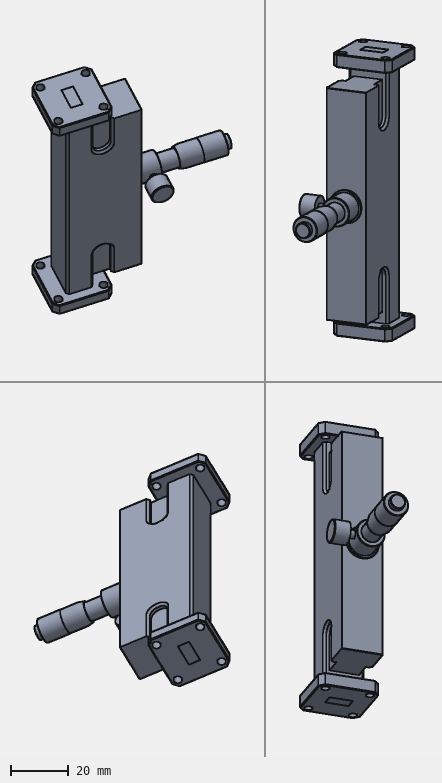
import cadquery as cq


length = 101.6
flange_side = 22.4
flange_thickness = 4.8
flange_corner = 1.9
flange_edge_chamfer = 0.3
hole_diameter = 2.9
hole_spacing_x = 16.5
hole_spacing_y = 17.1
port_width = 8.6
port_height = 4.4
port_depth = 0.1

tube_width = 15.2
tube_height = 10.2
tube_chamfer = 0.9

block_length = 83.7
block_back = 23.2
block_back_chamfer = 0.2

slot_width = 6.8
slot_depth = 2.1
slot_straight_end = 29.0
slot_chamfer = tube_chamfer

collar_diameter = 11.9
collar_end = 23.9
bushing_diameter = 10.4
bushing_end = 31.9
sleeve_diameter = 7.1
thimble_start = 39.1
thimble_tip_diameter = 8.1
thimble_taper_end = 41.2
thimble_diameter = 9.0
grip_start = 48.0
grip_diameter = 9.1
grip_end = 57.1
cap_diameter = 5.5
cap_end = 59.0
turned_chamfer = 0.2

screw_y = 28.5
stem_diameter = 3.0
knob_diameter = 8.4
knob_start = 7.7
knob_end = 13.7
knob_chamfer = 0.3


def make_flange():
    """Top flange, with its port recess in the outer face."""
    inner_face = length / 2 - flange_thickness
    flange = (
        cq.Workplane("XY", origin=(0, 0, inner_face))
        .rect(flange_side, flange_side)
        .extrude(flange_thickness)
        .edges("|Z")
        .chamfer(flange_corner)
        .faces("<Z or >Z")
        .edges()
        .chamfer(flange_edge_chamfer)
    )
    holes = (
        cq.Workplane("XY", origin=(0, 0, inner_face))
        .rect(hole_spacing_x, hole_spacing_y, forConstruction=True)
        .vertices()
        .circle(hole_diameter / 2)
        .extrude(flange_thickness)
    )
    port = (
        cq.Workplane("XY", origin=(0, 0, length / 2 - port_depth))
        .rect(port_width, port_height)
        .extrude(port_depth)
    )
    return flange.cut(holes).cut(port)


def make_tube():
    tube_length = length - 2 * flange_thickness
    return cq.Workplane("XY").box(tube_width, tube_height, tube_length).edges("|Z").chamfer(tube_chamfer)


def make_block():
    return (
        cq.Workplane("XY")
        .box(tube_width, block_back, block_length, centered=(True, False, True))
        .faces(">Y")
        .edges()
        .chamfer(block_back_chamfer)
    )


def slot_prism(x, width):
    """Open-ended slot outline at the given X, running up from its round lower end."""
    radius = width / 2
    center_y = (tube_height + slot_width) / 2
    return (
        cq.Workplane("YZ", origin=(x, 0, 0))
        .moveTo(center_y - radius, length / 2)
        .lineTo(center_y - radius, slot_straight_end)
        .threePointArc((center_y, slot_straight_end - radius), (center_y + radius, slot_straight_end))
        .lineTo(center_y + radius, length / 2)
        .close()
    )


def make_slot():
    """Upper slot cutter for the +X side, with a chamfered mouth."""
    side = tube_width / 2
    slot = slot_prism(side - slot_depth, slot_width).extrude(slot_depth)
    mouth_width = slot_width + 2 * slot_chamfer
    mouth = slot_prism(side, mouth_width).extrude(-slot_chamfer, taper=45)
    return slot.union(mouth)


def make_micrometer():
    """Turned profile as (radius, Y) points, revolved about the Y axis."""
    profile = [
        (0, block_back),
        (collar_diameter / 2, block_back),
        (collar_diameter / 2, collar_end),
        (bushing_diameter / 2, collar_end),
        (bushing_diameter / 2, bushing_end - turned_chamfer),
        (bushing_diameter / 2 - turned_chamfer, bushing_end),
        (sleeve_diameter / 2, bushing_end),
        (sleeve_diameter / 2, thimble_start),
        (thimble_tip_diameter / 2, thimble_start),
        (thimble_diameter / 2, thimble_taper_end),
        (thimble_diameter / 2, grip_start),
        (grip_diameter / 2, grip_start),
        (grip_diameter / 2, grip_end - turned_chamfer),
        (grip_diameter / 2 - turned_chamfer, grip_end),
        (cap_diameter / 2, grip_end),
        (cap_diameter / 2, cap_end - turned_chamfer),
        (cap_diameter / 2 - turned_chamfer, cap_end),
        (0, cap_end),
    ]
    return cq.Workplane("XY").polyline(profile).close().revolve(360, (0, 0, 0), (0, 1, 0))


def make_thumbscrew():
    stem = cq.Workplane("YZ", origin=(0, screw_y, 0)).circle(stem_diameter / 2).extrude(knob_start)
    knob = (
        cq.Workplane("YZ", origin=(knob_start, screw_y, 0))
        .circle(knob_diameter / 2)
        .extrude(knob_end - knob_start)
        .faces(">X")
        .edges()
        .chamfer(knob_chamfer)
    )
    return stem.union(knob)


body = make_tube().union(make_block())

slot = make_slot()
for side_slot in (slot, slot.mirror("YZ")):
    body = body.cut(side_slot).cut(side_slot.mirror("XY"))

flange = make_flange()
result = (
    body.union(flange)
    .union(flange.mirror("XY"))
    .union(make_micrometer())
    .union(make_thumbscrew())
)